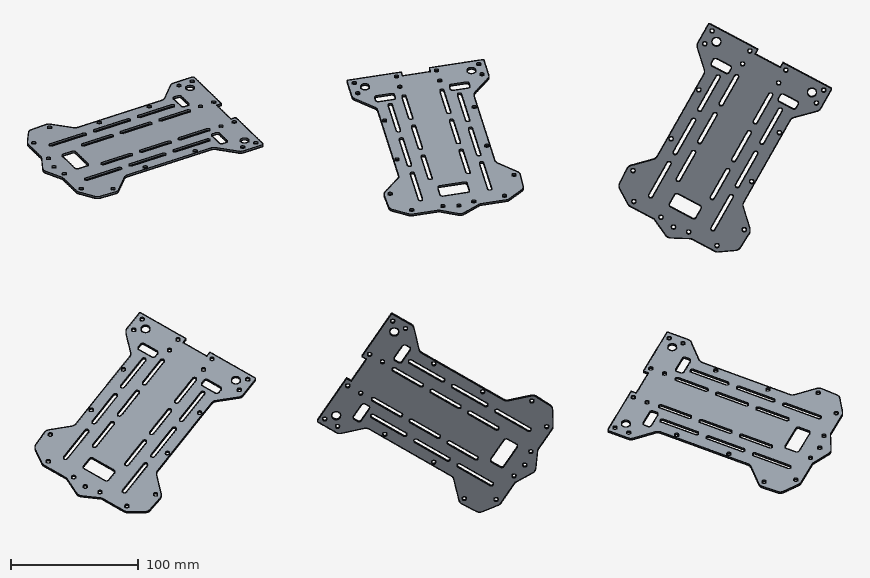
import cadquery as cq
import math

length = 167.4
width = 110.0
thickness = 2.0
top_y = length / 2
half_width = width / 2

waist_half_width = 38.7
top_notch_half_width = 11.2
top_notch_depth = 4.4
upper_shoulder_y = 63.5
upper_waist_y = 47.5
lower_waist_y = -32.3
lower_shoulder_x = 54.7
lower_shoulder_y = -48.2
lower_wing_x = 53.9
lower_wing_y = -66.1
bottom_edge_y = -76.0
bottom_edge_outer_x = 39.2
nose_slope_degrees = 26.7
outline_radius = 5.0
top_corner_radius = 1.0

nose_slope = math.radians(nose_slope_degrees)
nose_rounding_loss = outline_radius * (1 / math.cos(nose_slope) - 1)
nose_tip_y = -length / 2 - nose_rounding_loss
nose_half_width = (bottom_edge_y - nose_tip_y) / math.tan(nose_slope)

small_hole_diameter = 3.3
large_hole_diameter = 7.0
mount_columns_x = (16.0, 49.9)
mount_rows_y = (79.5, 67.6)
waist_hole_x = 36.0
waist_holes_y = (32.6, -12.5)
lower_holes = [(49.7, -49.5), (37.2, -71.1), (12.4, -72.2)]
nose_hole_y = -74.3
large_hole = (42.7, 73.5)

slots_per_column = 3
slot_width = 3.3
slot_direction_degrees = 90
outer_slot_x = 27.8
outer_slot_length = 33.1
outer_slot_pitch = 40.0
outer_slot_first_y = 34.2
inner_slot_x = 15.2
inner_slot_length = 28.3
inner_slot_pitch = 35.0
inner_slot_first_y = 43.7

side_window = (15.9, 7.0)
side_window_center = (30.0, 58.1)
side_window_radius = 2.0
rear_window = (23.6, 12.0)
rear_window_y = -55.0
rear_window_radius = 2.0


def mirrored(points):
    """Return the points together with their mirror images across the YZ plane."""
    return [(side * x, y) for x, y in points for side in (1, -1)]


def round_corners(body, points, radius):
    """Fillet the upright edges that stand at the given outline points."""
    for x, y in points:
        nearest = cq.selectors.NearestToPointSelector((x, y, thickness / 2))
        body = body.edges("|Z").edges(nearest).fillet(radius)
    return body


def make_plate():
    """Plate outline, symmetric about the YZ plane, with rounded corners."""
    notch_y = top_y - top_notch_depth
    top_corner = (half_width, top_y)
    rounded_corners = [
        (half_width, upper_shoulder_y),
        (waist_half_width, upper_waist_y),
        (waist_half_width, lower_waist_y),
        (lower_shoulder_x, lower_shoulder_y),
        (lower_wing_x, lower_wing_y),
        (bottom_edge_outer_x, bottom_edge_y),
    ]
    right_side = [
        (top_notch_half_width, notch_y),
        (top_notch_half_width, top_y),
        top_corner,
        *rounded_corners,
        (nose_half_width, bottom_edge_y),
    ]
    nose_tip = (0, nose_tip_y)
    left_side = [(-x, y) for x, y in reversed(right_side)]
    plate = cq.Workplane("XY").polyline([*right_side, nose_tip, *left_side]).close().extrude(thickness)

    plate = round_corners(plate, mirrored(rounded_corners) + [nose_tip], outline_radius)
    return round_corners(plate, mirrored([top_corner]), top_corner_radius)


def hole_cutters(points, diameter):
    return cq.Workplane("XY").pushPoints(points).circle(diameter / 2).extrude(thickness)


def slot_cutters(x, first_y, pitch, slot_length):
    column = [(x, first_y - i * pitch) for i in range(slots_per_column)]
    slots = cq.Workplane("XY").pushPoints(mirrored(column))
    return slots.slot2D(slot_length, slot_width, slot_direction_degrees).extrude(thickness)


def window_cutters(points, size, radius):
    return cq.Workplane("XY").pushPoints(points).rect(*size).extrude(thickness).edges("|Z").fillet(radius)


mount_holes = [(x, y) for x in mount_columns_x for y in mount_rows_y]
waist_holes = [(waist_hole_x, y) for y in waist_holes_y]
small_holes = mirrored(mount_holes + waist_holes + lower_holes) + [(0, nose_hole_y)]

result = (
    make_plate()
    .cut(hole_cutters(small_holes, small_hole_diameter))
    .cut(hole_cutters(mirrored([large_hole]), large_hole_diameter))
    .cut(slot_cutters(outer_slot_x, outer_slot_first_y, outer_slot_pitch, outer_slot_length))
    .cut(slot_cutters(inner_slot_x, inner_slot_first_y, inner_slot_pitch, inner_slot_length))
    .cut(window_cutters(mirrored([side_window_center]), side_window, side_window_radius))
    .cut(window_cutters([(0, rear_window_y)], rear_window, rear_window_radius))
)